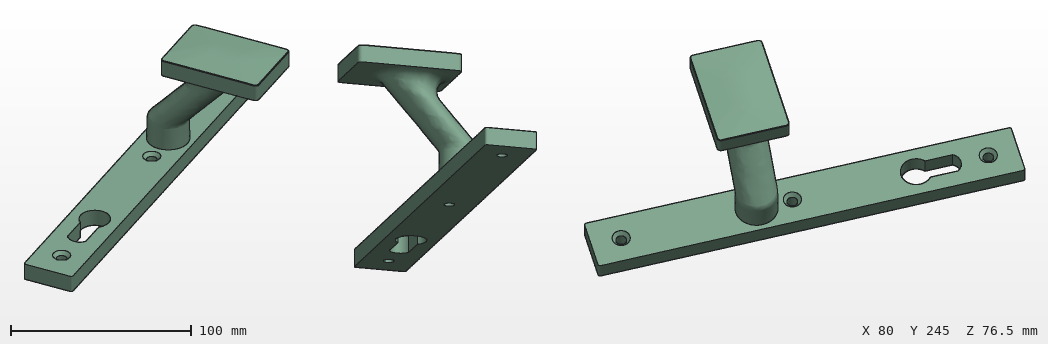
import cadquery as cq
import math

PLATE_WIDTH = 30.0
PLATE_LENGTH = 245.0
PLATE_THICKNESS = 10.0
PLATE_CORNER_RADIUS = 1.2

SCREW_POSITIONS = (-105.4, 7.0, 105.4)
SCREW_DIAMETER = 6.0
COUNTERSINK_DIAMETER = 10.0
COUNTERSINK_ANGLE = 90.0

KEYHOLE_Y = -64.0
KEYHOLE_DIAMETER = 17.5
KEYHOLE_SLOT_WIDTH = 11.3
KEYHOLE_SLOT_END_DIAMETER = 13.0
KEYHOLE_SLOT_END_Y = -89.7

HANDLE_Y = 27.7
FOOT_DIAMETER = 24.0
ARM_DIAMETER = 23.5
BEND_Z = 25.0
ARM_LEAN = 42.0
BEND_RADIUS = 4.0
BEND_STEPS = 4
HEAD_BLEND_RADIUS = 8.0

HEAD_LENGTH = 60.0
HEAD_WIDTH = 41.5
OVERALL_WIDTH = 80.0
HEAD_X_MAX = OVERALL_WIDTH - PLATE_WIDTH / 2
HEAD_BOTTOM_Z = 65.0
HEAD_EAVES_Z = 75.0
HEAD_CORNER_RADIUS = 2.2
HEAD_RIM_CHAMFER = 0.37
ROOF_SLOPE = 5.0
ROOF_BLEND_RADIUS = 80.8

TOLERANCE = 0.02


def make_plate():
    plate = (
        cq.Workplane("XY")
        .rect(PLATE_WIDTH, PLATE_LENGTH)
        .extrude(PLATE_THICKNESS)
        .edges("|Z")
        .fillet(PLATE_CORNER_RADIUS)
    )
    plate = (
        plate.faces(">Z")
        .workplane(origin=(0, 0, PLATE_THICKNESS))
        .pushPoints([(0, y) for y in SCREW_POSITIONS])
        .cskHole(SCREW_DIAMETER, COUNTERSINK_DIAMETER, COUNTERSINK_ANGLE)
    )
    return plate.cut(make_keyhole())


def make_keyhole():
    """Round cylinder hole with a slot running towards -Y, closed by a shallow arc."""
    half_width = KEYHOLE_SLOT_WIDTH / 2
    end_radius = KEYHOLE_SLOT_END_DIAMETER / 2
    arc_start_y = KEYHOLE_SLOT_END_Y + end_radius - math.sqrt(end_radius**2 - half_width**2)
    slot = (
        cq.Workplane("XY")
        .moveTo(half_width, KEYHOLE_Y)
        .lineTo(half_width, arc_start_y)
        .threePointArc((0, KEYHOLE_SLOT_END_Y), (-half_width, arc_start_y))
        .lineTo(-half_width, KEYHOLE_Y)
        .close()
        .extrude(PLATE_THICKNESS)
    )
    barrel = cq.Workplane("XY").center(0, KEYHOLE_Y).circle(KEYHOLE_DIAMETER / 2).extrude(PLATE_THICKNESS)
    return barrel.union(slot)


def bend_circle(angle):
    """Horizontal section of the rounded bend, where the neck's centre line leans by `angle` radians."""
    lean = math.radians(ARM_LEAN)
    bend_start_z = BEND_Z - BEND_RADIUS * math.tan(lean / 2)
    center = cq.Vector(
        BEND_RADIUS * (1 - math.cos(angle)),
        HANDLE_Y,
        bend_start_z + BEND_RADIUS * math.sin(angle),
    )
    return cq.Wire.makeCircle(ARM_DIAMETER / 2, center, cq.Vector(0, 0, 1))


def make_neck():
    """Foot, rounded bend and leaning arm; every horizontal section is a circle."""
    lean = math.radians(ARM_LEAN)
    bend_start = bend_circle(0)
    bend_end = bend_circle(lean)
    foot_circle = cq.Wire.makeCircle(
        FOOT_DIAMETER / 2, cq.Vector(0, HANDLE_Y, PLATE_THICKNESS), cq.Vector(0, 0, 1)
    )
    foot = cq.Solid.makeLoft([foot_circle, bend_start])
    bend = cq.Solid.makeLoft([bend_circle(lean * i / BEND_STEPS) for i in range(BEND_STEPS + 1)])
    arm_rise = HEAD_BOTTOM_Z - bend_end.Center().z
    arm = cq.Solid.extrudeLinear(bend_end, [], cq.Vector(arm_rise * math.tan(lean), 0, arm_rise))
    return cq.Workplane(foot).union(cq.Workplane(bend)).union(cq.Workplane(arm))


def make_roof_block():
    """Sharp-cornered block under four equal slopes that meet along a ridge, with every ridge line rounded."""
    half_length = HEAD_LENGTH / 2
    half_width = HEAD_WIDTH / 2
    half_ridge = half_length - half_width
    eaves_height = HEAD_EAVES_Z - HEAD_BOTTOM_Z
    ridge_height = eaves_height + half_width * math.tan(math.radians(ROOF_SLOPE))
    bottom_center = (HEAD_X_MAX - half_length, HANDLE_Y, HEAD_BOTTOM_Z)
    gable = (
        cq.Workplane("YZ", origin=bottom_center)
        .moveTo(-half_width, 0)
        .lineTo(half_width, 0)
        .lineTo(half_width, eaves_height)
        .lineTo(0, ridge_height)
        .lineTo(-half_width, eaves_height)
        .close()
        .extrude(half_length, both=True)
    )
    hips = (
        cq.Workplane("XZ", origin=bottom_center)
        .moveTo(-half_length, 0)
        .lineTo(half_length, 0)
        .lineTo(half_length, eaves_height)
        .lineTo(half_ridge, ridge_height)
        .lineTo(-half_ridge, ridge_height)
        .lineTo(-half_length, eaves_height)
        .close()
        .extrude(half_width, both=True)
    )
    block = gable.intersect(hips)
    ridge_lines = [edge for edge in block.edges().vals() if edge.Center().z > HEAD_EAVES_Z + TOLERANCE]
    return block.newObject(ridge_lines).fillet(ROOF_BLEND_RADIUS)


def make_head():
    """Roofed block with rounded corners and a fine chamfer all round its rim."""
    corner_edge_middle_z = (HEAD_BOTTOM_Z + HEAD_EAVES_Z) / 2
    head = make_roof_block().edges("|Z").fillet(HEAD_CORNER_RADIUS)
    rim_edges = [
        edge
        for edge in head.edges().vals()
        if corner_edge_middle_z + TOLERANCE < edge.Center().z < HEAD_EAVES_Z + TOLERANCE
    ]
    return head.newObject(rim_edges).chamfer(HEAD_RIM_CHAMFER)


def make_handle():
    handle = make_neck().union(make_head())
    junction = [
        edge
        for edge in handle.edges("%CIRCLE").vals()
        if abs(edge.Center().z - HEAD_BOTTOM_Z) < TOLERANCE and edge.radius() > HEAD_CORNER_RADIUS + TOLERANCE
    ]
    return handle.newObject(junction).fillet(HEAD_BLEND_RADIUS)


plate = make_plate()
handle = make_handle()
result = cq.Compound.makeCompound([plate.val(), handle.val()])